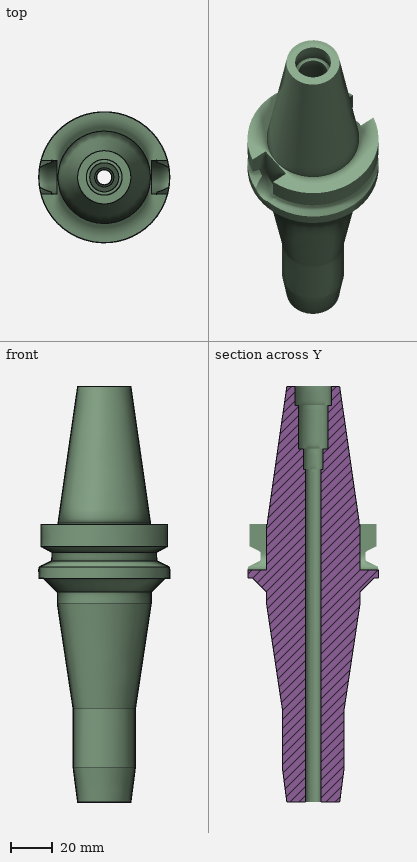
import cadquery as cq

total_length = 200.0
gauge_z = total_length - 65.5
flange_top_z = gauge_z - 1.0
groove_upper_edge_z = flange_top_z - 10.6
groove_upper_z = flange_top_z - 13.5
groove_lower_z = flange_top_z - 17.6
groove_lower_edge_z = flange_top_z - 20.5
flange_bottom_z = flange_top_z - 26.0
collar_top_z = flange_bottom_z - 6.6
collar_bottom_z = collar_top_z - 5.5
nose_top_z = 45.0
tip_top_z = 16.8

flange_radius = 63.0 / 2
groove_radius = 26.5
collar_radius = 22.6
shoulder_radius = collar_radius + (flange_bottom_z - collar_top_z)
gauge_radius = 22.2
taper_end_radius = 12.8
nose_radius = 15.0
tip_radius = 12.8

slot_width = 16.2
slot_floor_x = 22.6
slot_depth = 21.8

bore_steps = [(8.6, 9.0), (7.0, 30.0), (4.6, 40.0)]
through_radius = 3.6


def make_body():
    """Revolve the outer profile, drawn as radius against height."""
    return (
        cq.Workplane("XZ")
        .polyline([
            (0, 0),
            (tip_radius, 0),
            (nose_radius, tip_top_z),
            (nose_radius, nose_top_z),
            (collar_radius, collar_bottom_z),
            (collar_radius, collar_top_z),
            (shoulder_radius, flange_bottom_z),
            (flange_radius, flange_bottom_z),
            (flange_radius, groove_lower_edge_z),
            (groove_radius, groove_lower_z),
            (groove_radius, groove_upper_z),
            (flange_radius, groove_upper_edge_z),
            (flange_radius, flange_top_z),
            (gauge_radius, flange_top_z),
            (gauge_radius, gauge_z),
            (taper_end_radius, total_length),
            (0, total_length),
        ])
        .close()
        .revolve(360, (0, 0, 0), (0, 1, 0))
    )


def make_drive_slot():
    """Round-bottomed slot cutter on the +X side, open at the flange top."""
    half_width = slot_width / 2
    slot_bottom_z = flange_top_z - slot_depth
    arc_center_z = slot_bottom_z + half_width
    return (
        cq.Workplane("YZ", origin=(slot_floor_x, 0, 0))
        .moveTo(-half_width, flange_top_z)
        .lineTo(-half_width, arc_center_z)
        .threePointArc((0, slot_bottom_z), (half_width, arc_center_z))
        .lineTo(half_width, flange_top_z)
        .close()
        .extrude(flange_radius)
    )


def make_bore():
    """Through hole with coaxial steps widening toward the taper end."""
    bore = cq.Workplane("XY").circle(through_radius).extrude(total_length)
    for radius, depth in bore_steps:
        step = cq.Workplane("XY", origin=(0, 0, total_length - depth)).circle(radius).extrude(depth)
        bore = bore.union(step)
    return bore


drive_slot = make_drive_slot()
result = make_body().cut(make_bore())
for angle in (0, 180):
    result = result.cut(drive_slot.rotate((0, 0, 0), (0, 0, 1), angle))